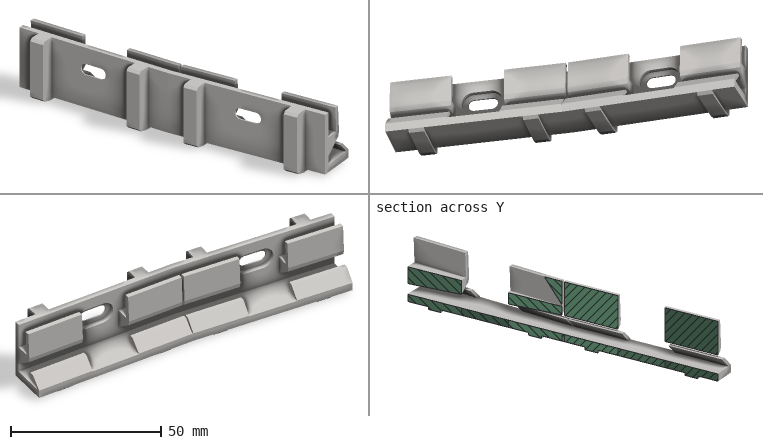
import cadquery as cq
import math


segment_length = 21.0
middle_length = 18.1
module_length = 2 * segment_length + middle_length
depth = 15.0
height = 22.1
wall = 2.2
floor = 2.8
bend_angle = 3.8
joint_gap = 0.4

lip_root_z = 3.0
lip_top_z = 7.0
lip_back_y = depth - (lip_top_z - lip_root_z)
lip_thickness = 1.6
lip_front_y = lip_back_y - lip_thickness
lip_foot_y = lip_front_y + lip_top_z - floor

channel_floor_z = 12.9
arm_inner_top_y = 6.5
arm_inner_foot_y = 7.0
arm_outer_top_y = 8.2
arm_outer_foot_y = 8.9
arm_outer_foot_z = 12.4
arm_heel_y = 8.5
arm_heel_z = 10.7
web_foot_z = 6.0

rib_width = 5.2
rib_projection = 5.0
rib_drop = 1.0
rib_chamfer = 1.0
rib_bottom_run = 3.2
rib_nose_y = 1.1
rib_nose_top_z = 0.7
rib_nose_bottom_z = -0.2

slot_length = 10.1
slot_height = 4.0
slot_centre_z = 14.1
slot_land = 0.5
head_recess_margin = 2.0


def extrude_along_x(outline, start_x, length):
    """Prism whose outline is a list of (Y, Z) points."""
    return cq.Workplane("YZ").workplane(offset=start_x).polyline(outline).close().extrude(length)


def rib(centre_x):
    """Rib on the outer wall face that continues under the floor to the back edge."""
    outline = [
        (wall, height),
        (rib_chamfer - rib_projection, height),
        (-rib_projection, height - rib_chamfer),
        (-rib_projection, rib_nose_top_z),
        (rib_nose_y - rib_projection, rib_nose_bottom_z),
        (rib_nose_y + rib_bottom_run - rib_projection, -rib_drop),
        (depth - rib_drop, -rib_drop),
        (depth, 0),
        (depth, floor / 2),
        (wall, floor / 2),
    ]
    return extrude_along_x(outline, centre_x - rib_width / 2, rib_width)


def end_segment(start_x):
    """Channel profile with a hooked lip and one rib at mid-length."""
    outline = [
        (0, 0),
        (depth, 0),
        (depth, lip_root_z),
        (lip_back_y, lip_top_z),
        (lip_front_y, lip_top_z),
        (lip_foot_y, floor),
        (wall, floor),
        (wall, web_foot_z),
        (arm_heel_y, arm_heel_z),
        (arm_outer_foot_y, arm_outer_foot_z),
        (arm_outer_top_y, height),
        (arm_inner_top_y, height),
        (arm_inner_foot_y, channel_floor_z),
        (wall, channel_floor_z),
        (wall, height),
        (0, height),
    ]
    profile = extrude_along_x(outline, start_x, segment_length)
    return profile.union(rib(start_x + segment_length / 2))


def slot_cutter(centre_x, margin, start_y):
    """Slot, enlarged by a margin all round, from start_y to the inner wall face."""
    return (
        cq.Workplane("XZ", origin=(0, start_y, 0))
        .center(centre_x, slot_centre_z)
        .slot2D(slot_length + 2 * margin, slot_height + 2 * margin)
        .extrude(start_y - wall)
    )


def middle_section(start_x):
    """Plain wall and floor with a fixing slot, recessed for the screw head on the inner face."""
    outline = [(0, 0), (depth, 0), (depth, floor), (wall, floor), (wall, height), (0, height)]
    angle_piece = extrude_along_x(outline, start_x, middle_length)
    centre_x = start_x + middle_length / 2
    slot = slot_cutter(centre_x, 0, 0)
    head_recess = slot_cutter(centre_x, head_recess_margin, slot_land)
    return angle_piece.cut(slot).cut(head_recess)


def place_left(body):
    """Swing a body about the back corner of the joint and set it left of the wedge."""
    swung = body.rotate((0, depth, 0), (0, depth, 1), -bend_angle)
    return swung.translate((-joint_gap, 0, 0))


def joint_wedge():
    """Wall and floor filling the tapered space between the two modules."""
    bend = math.radians(bend_angle)

    def left_edge(y):
        """Point on the left module's end face at distance y behind its outer face."""
        reach = depth - y
        return (-joint_gap - reach * math.sin(bend), depth - reach * math.cos(bend))

    def slab(front_y, back_y, top_z):
        """Tapered block from Z = 0 to top_z between two distances behind the outer face."""
        corners = [(0, front_y), left_edge(front_y), left_edge(back_y), (0, back_y)]
        return cq.Workplane("XY").polyline(corners).close().extrude(top_z)

    return slab(0, depth, floor).union(slab(0, wall, height))


second_segment_x = segment_length + middle_length
end_segments = []
for start_x in (0, second_segment_x):
    end_segments.append(end_segment(start_x))
    end_segments.append(place_left(end_segment(start_x - module_length)))
middle_sections = [
    middle_section(segment_length),
    place_left(middle_section(segment_length - module_length)),
]
wedge = joint_wedge()

bodies = end_segments + middle_sections + [wedge]
result = cq.Compound.makeCompound([body.val() for body in bodies])